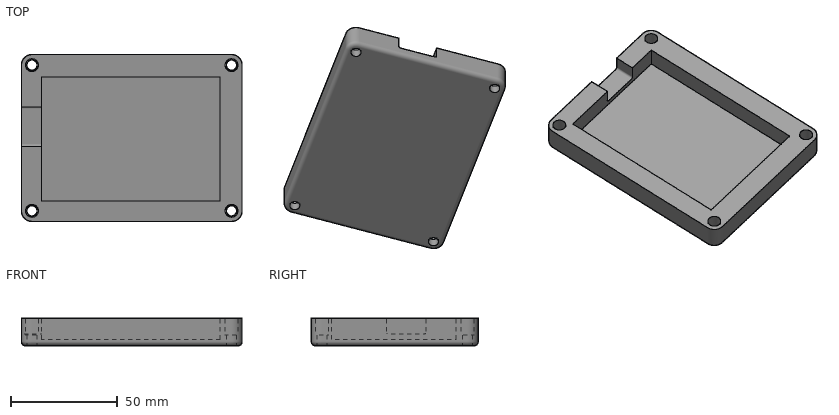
import cadquery as cq

LENGTH = 103.4
WIDTH = 78.2
HEIGHT = 13.0
CORNER_RADIUS = 5.0
BOTTOM_FILLET = 2.0

WALL_LEFT = 9.5
WALL_RIGHT = 10.5
WALL_FRONT = 9.5
WALL_BACK = 10.5
POCKET_DEPTH = 10.0

HOLE_DIAMETER = 4.7
COUNTERBORE_DIAMETER = 6.0
COUNTERBORE_DEPTH = 8.0

NOTCH_WIDTH = 18.5
NOTCH_DEPTH = 7.5
NOTCH_FILLET = 1.0
NOTCH_CENTER_Y = 5.35


def make_body():
    """Rounded block with a filleted bottom rim."""
    block = cq.Workplane("XY").box(LENGTH, WIDTH, HEIGHT, centered=(True, True, False))
    block = block.edges("|Z").fillet(CORNER_RADIUS)
    return block.faces("<Z").edges().fillet(BOTTOM_FILLET)


def make_pocket():
    """Sharp-cornered cavity, open at the top."""
    pocket_length = LENGTH - WALL_LEFT - WALL_RIGHT
    pocket_width = WIDTH - WALL_FRONT - WALL_BACK
    pocket = cq.Workplane("XY").box(pocket_length, pocket_width, POCKET_DEPTH, centered=False)
    return pocket.translate((-LENGTH / 2 + WALL_LEFT, -WIDTH / 2 + WALL_FRONT, HEIGHT - POCKET_DEPTH))


def make_notch():
    """Channel through the left wall with rounded lower corners."""
    notch = cq.Workplane("XY").box(WALL_LEFT, NOTCH_WIDTH, NOTCH_DEPTH, centered=(False, True, False))
    notch = notch.faces("<Z").edges("|X").fillet(NOTCH_FILLET)
    return notch.translate((-LENGTH / 2, NOTCH_CENTER_Y, HEIGHT - NOTCH_DEPTH))


def drill_corner_holes(body):
    """Counterbored through hole in each corner."""
    return (
        body.faces(">Z")
        .workplane(origin=(0, 0, HEIGHT))
        .rect(LENGTH - 2 * CORNER_RADIUS, WIDTH - 2 * CORNER_RADIUS, forConstruction=True)
        .vertices()
        .cboreHole(HOLE_DIAMETER, COUNTERBORE_DIAMETER, COUNTERBORE_DEPTH)
    )


result = drill_corner_holes(make_body()).cut(make_pocket()).cut(make_notch())